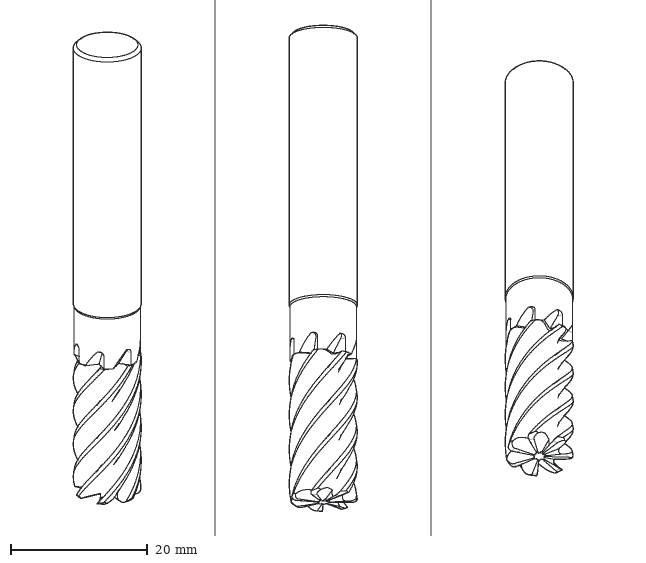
import cadquery as cq
import math

total_length = 72.0
shank_radius = 5.005
neck_radius = 4.9
head_length = 22.0
neck_end = 30.1
neck_taper = 0.3
shank_chamfer = 0.5

tooth_count = 7
tooth_pitch = 360 / tooth_count
helix_lead = 37.2
head_twist = 360 * head_length / helix_lead
top_edge_angle = -78.0
corner_radius = 1.0
envelope_clearance = 0.1

edge_radius = 4.86
land_radius = shank_radius
land_angle = 9.0
back_radius = 4.3
back_angle = 24.0
valley_radius = 2.95
valley_angle = 41.0

runout_height = 2.7
runout_lean = 1.7
runout_wall_angle = 7.5
runout_floor_angle = -8.0
runout_floor_radius = 3.3
runout_back_angle = -28.0
runout_round = 0.6
runout_reach = 6.85

gash_angle = 40.0
gash_slope = 30.0
web_radius = 0.7


def polar(radius, angle):
    """Cartesian point from a radius and an angle in degrees."""
    a = math.radians(angle)
    return (radius * math.cos(a), radius * math.sin(a))


def turned(workplane, angle):
    """The shape turned about the tool axis."""
    return workplane.rotate((0, 0, 0), (0, 0, 1), angle)


def fluted_blank(start_angle, height, twist):
    """Helical bar with all the flutes; the first leading edge starts at start_angle."""
    section = cq.Workplane("XY").moveTo(*polar(edge_radius, start_angle))
    for tooth in range(tooth_count):
        edge = start_angle + tooth * tooth_pitch
        section = section.lineTo(*polar(land_radius, edge + land_angle)).spline(
            [
                polar(back_radius, edge + back_angle),
                polar(valley_radius, edge + valley_angle),
                polar(edge_radius, edge + tooth_pitch),
            ],
            includeCurrent=True,
        )
    return section.close().twistExtrude(height, twist)


def end_gash(edge_angle):
    """Wedge cut out of the end in front of one leading edge."""
    reach = 2 * shank_radius
    rise = reach * math.tan(math.radians(gash_slope))
    ramp = (
        cq.Workplane("YZ", origin=(web_radius, 0, 0))
        .polyline([(0, 0), (reach, 0), (reach, rise)])
        .close()
        .extrude(reach)
    )
    sector = (
        cq.Workplane("XY")
        .polyline([(0, 0), polar(reach, 0), polar(reach, gash_angle)])
        .close()
        .extrude(rise)
    )
    return turned(ramp.intersect(sector), edge_angle - gash_angle)


def make_head():
    """Fluted cutting head with rounded end corners and end gashes."""
    bottom_edge_angle = top_edge_angle - head_twist
    head = fluted_blank(bottom_edge_angle, head_length, head_twist)
    envelope = (
        cq.Workplane("XY")
        .circle(land_radius + envelope_clearance)
        .extrude(head_length)
        .faces("<Z")
        .edges()
        .fillet(corner_radius)
    )
    head = head.intersect(envelope)
    for tooth in range(tooth_count):
        head = head.cut(end_gash(bottom_edge_angle + tooth * tooth_pitch))
    return head


def flute_runout(edge_angle):
    """Cutter for the end of one flute, standing on top of the cutting head."""
    floor_point = polar(runout_floor_radius, runout_floor_angle)
    wall_point = polar(neck_radius, runout_wall_angle)
    wall_middle = ((floor_point[0] + wall_point[0]) / 2, (floor_point[1] + wall_point[1]) / 2)
    upright = (
        cq.Workplane("XY")
        .moveTo(*floor_point)
        .lineTo(*wall_point)
        .lineTo(*polar(runout_reach, runout_wall_angle))
        .lineTo(*polar(runout_reach, -tooth_pitch))
        .lineTo(*polar(runout_floor_radius, -tooth_pitch))
        .close()
        .extrude(runout_height)
        .edges(cq.selectors.NearestToPointSelector((*wall_middle, runout_height)))
        .fillet(runout_round)
    )
    back_outline = (
        cq.Workplane("XY")
        .moveTo(*floor_point)
        .lineTo(*polar(neck_radius, runout_back_angle))
        .lineTo(*polar(runout_reach, runout_back_angle))
        .lineTo(*polar(runout_reach, tooth_pitch))
        .lineTo(*polar(runout_floor_radius, tooth_pitch))
        .close()
    )
    lean_direction = polar(runout_lean, runout_back_angle + 90)
    slanted = cq.Solid.extrudeLinear(
        back_outline.val(), [], cq.Vector(*lean_direction, runout_height)
    )
    cutter = upright.intersect(cq.Workplane(slanted)).translate((0, 0, head_length))
    return turned(cutter, edge_angle)


def make_shank():
    """Round shank and neck, standing on the cutting head."""
    shank = (
        cq.Workplane("XZ")
        .moveTo(0, head_length)
        .lineTo(neck_radius, head_length)
        .lineTo(neck_radius, neck_end)
        .lineTo(shank_radius, neck_end + neck_taper)
        .lineTo(shank_radius, total_length - shank_chamfer)
        .lineTo(shank_radius - shank_chamfer, total_length)
        .lineTo(0, total_length)
        .close()
        .revolve(360, (0, 0), (0, 1))
    )
    for tooth in range(tooth_count):
        shank = shank.cut(flute_runout(top_edge_angle + tooth * tooth_pitch))
    return shank


head = make_head()
shank = make_shank()
result = cq.Compound.makeCompound([head.solids().val(), shank.solids().val()])